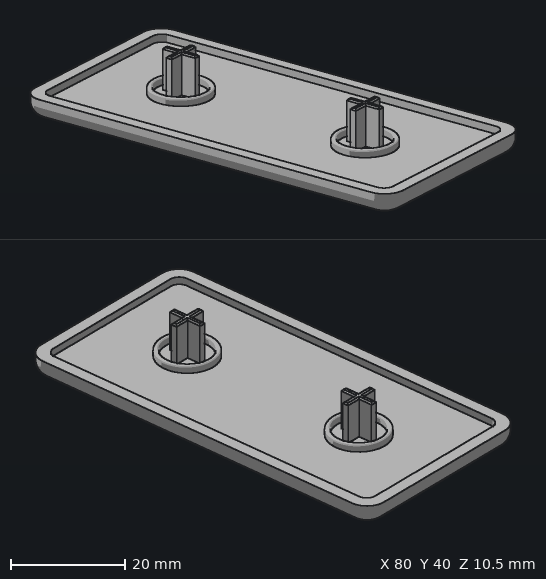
import cadquery as cq

PLATE_LENGTH = 80.0
PLATE_WIDTH = 40.0
PLATE_HEIGHT = 4.0
CORNER_RADIUS = 4.0
BOTTOM_FILLET = 2.5

RIM_WIDTH = 2.5
POCKET_CORNER_RADIUS = 2.0
POCKET_DEPTH = 1.5
FLOOR_Z = PLATE_HEIGHT - POCKET_DEPTH

POST_SPACING = 40.0
POST_TOP_Z = 10.5
POST_HEIGHT = POST_TOP_Z - FLOOR_Z
POST_DIAMETER = 7.1
ARM_THICKNESS = 1.2
POST_CHAMFER = 0.3

RING_OUTER_DIAMETER = 12.0
RING_WALL = 1.0
RING_HEIGHT = 1.5


def make_tray():
    """Rounded plate with a filleted bottom edge and a rimmed pocket on top."""
    plate = (
        cq.Workplane("XY")
        .rect(PLATE_LENGTH, PLATE_WIDTH)
        .extrude(PLATE_HEIGHT)
        .edges("|Z")
        .fillet(CORNER_RADIUS)
        .faces("<Z")
        .edges()
        .fillet(BOTTOM_FILLET)
    )
    pocket = (
        cq.Workplane("XY")
        .workplane(offset=FLOOR_Z)
        .rect(PLATE_LENGTH - 2 * RIM_WIDTH, PLATE_WIDTH - 2 * RIM_WIDTH)
        .extrude(POCKET_DEPTH)
        .edges("|Z")
        .fillet(POCKET_CORNER_RADIUS)
    )
    return plate.cut(pocket)


def make_post(x):
    """Cross-shaped post with cylindrical arm ends and a chamfered top, standing on the floor at x."""
    floor = cq.Workplane("XY").workplane(offset=FLOOR_Z).center(x, 0)
    arm_along_x = floor.rect(POST_DIAMETER, ARM_THICKNESS).extrude(POST_HEIGHT)
    arm_along_y = floor.rect(ARM_THICKNESS, POST_DIAMETER).extrude(POST_HEIGHT)
    envelope = floor.circle(POST_DIAMETER / 2).extrude(POST_HEIGHT)
    cross = arm_along_x.union(arm_along_y).intersect(envelope)
    return cross.faces(">Z").edges().chamfer(POST_CHAMFER)


def make_ring(x):
    """Low ring around the post at x, its top fully rounded by two quarter arcs."""
    outer_radius = RING_OUTER_DIAMETER / 2
    round_radius = RING_WALL / 2
    inner_radius = outer_radius - RING_WALL
    crest_radius = outer_radius - round_radius
    top_z = FLOOR_Z + RING_HEIGHT
    shoulder_z = top_z - round_radius
    profile = (
        cq.Workplane("XZ")
        .moveTo(inner_radius, FLOOR_Z)
        .lineTo(outer_radius, FLOOR_Z)
        .lineTo(outer_radius, shoulder_z)
        .radiusArc((crest_radius, top_z), -round_radius)
        .radiusArc((inner_radius, shoulder_z), -round_radius)
        .close()
    )
    return profile.revolve(360, (0, 0, 0), (0, 1, 0), clean=False).translate((x, 0, 0))


result = make_tray()
for post_x in (-POST_SPACING / 2, POST_SPACING / 2):
    result = result.union(make_ring(post_x), clean=False).union(make_post(post_x), clean=False)